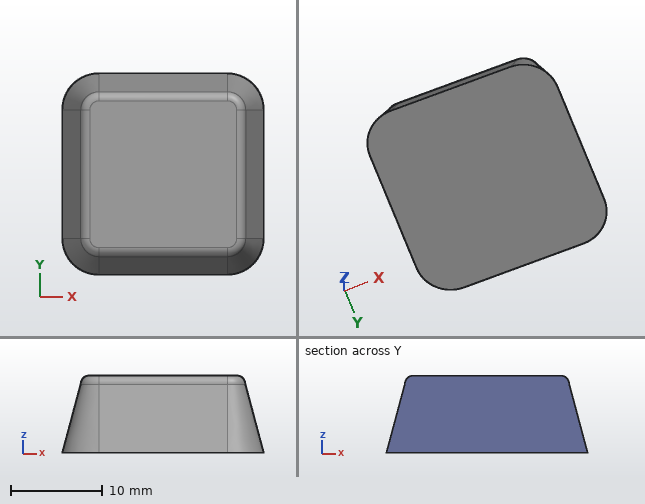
import cadquery as cq
import math

base_width = 22.12
total_height = 8.5
base_corner_radius = 4.03
draft_angle = 15.0
rim_radius = 1.0

wall_height = total_height - rim_radius
wall_inset = wall_height * math.tan(math.radians(draft_angle))
cap_width = base_width - 2 * wall_inset
cap_corner_radius = base_corner_radius - wall_inset
cap_overlap = rim_radius


def rounded_square(width, corner_radius):
    return cq.Sketch().rect(width, width).vertices().fillet(corner_radius)


body = (
    cq.Workplane("XY")
    .placeSketch(rounded_square(base_width, base_corner_radius))
    .extrude(wall_height, taper=draft_angle)
)

cap = (
    cq.Workplane("XY", origin=(0, 0, wall_height - cap_overlap))
    .placeSketch(rounded_square(cap_width, cap_corner_radius))
    .extrude(rim_radius + cap_overlap)
    .faces(">Z")
    .edges()
    .fillet(rim_radius)
)

result = body.union(cap)